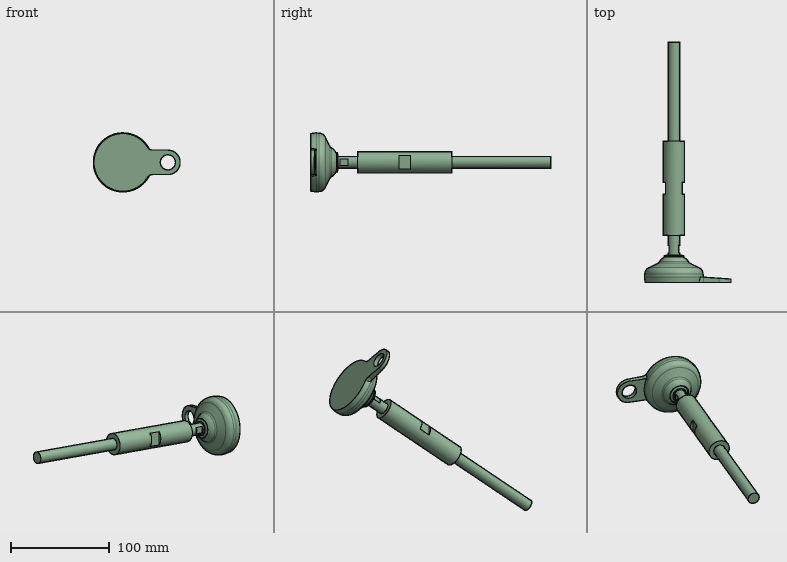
import cadquery as cq
import math

TOTAL_LENGTH = 243.0

FOOT_BOTTOM_RADIUS = 29.2
RIM_RADIUS = 30.0
RIM_HEIGHT = 5.8
SHOULDER_START_RADIUS = 29.6
SHOULDER_START_HEIGHT = 8.7
SHOULDER_MID_RADIUS = 28.2
SHOULDER_MID_HEIGHT = 13.0
SHOULDER_END_RADIUS = 24.8
SHOULDER_END_HEIGHT = 15.3
CONE_TOP_RADIUS = 16.0
CONE_TOP_HEIGHT = 19.7
DOME_START_RADIUS = 14.8
DOME_START_HEIGHT = 21.1
DOME_MID_RADIUS = 12.6
DOME_MID_HEIGHT = 23.8
NECK_RADIUS = 9.2
NECK_HEIGHT = 26.0
LIP_RADIUS = 10.2
LIP_HEIGHT = 27.0
FOOT_TOP_RADIUS = 7.3
FOOT_HEIGHT = 28.0

LUG_WIDTH = 25.0
LUG_HOLE_X = 45.5
LUG_HOLE_DIAMETER = 15.0
LUG_ROOT_FILLET = 6.0
LUG_ROOT_THICKNESS = 5.5
LUG_TIP_THICKNESS = 3.6

ROD_DIAMETER = 12.0
ROD_FLAT_START = 30.0
ROD_FLAT_LENGTH = 7.8
ROD_ACROSS_FLATS = 10.0

SLEEVE_DIAMETER = 21.9
SLEEVE_START = 47.6
SLEEVE_LENGTH = 95.3
SLEEVE_FLAT_LENGTH = 12.0
SLEEVE_ACROSS_FLATS = 17.0


def cylinder(diameter, start, length):
    """Cylinder along +Y from y = start."""
    plane = cq.Workplane("XZ", origin=(0, start, 0))
    return plane.circle(diameter / 2).extrude(-length)


def cut_wrench_flats(body, diameter, across_flats, start, length):
    """Cut a pair of opposite flats, facing -X and +X, over a length along Y."""
    depth = (diameter - across_flats) / 2
    for side in (-1, 1):
        x = side * (across_flats + depth) / 2
        cutter = cq.Workplane("XY").box(depth, length, diameter)
        body = body.cut(cutter.translate((x, start + length / 2, 0)))
    return body


def make_pad():
    """Round pad: flared rim, rounded shoulder, cone blended into a dome, and top lip."""
    return (
        cq.Workplane("XY")
        .lineTo(FOOT_BOTTOM_RADIUS, 0)
        .lineTo(RIM_RADIUS, RIM_HEIGHT)
        .lineTo(SHOULDER_START_RADIUS, SHOULDER_START_HEIGHT)
        .threePointArc(
            (SHOULDER_MID_RADIUS, SHOULDER_MID_HEIGHT),
            (SHOULDER_END_RADIUS, SHOULDER_END_HEIGHT),
        )
        .lineTo(CONE_TOP_RADIUS, CONE_TOP_HEIGHT)
        .tangentArcPoint((DOME_START_RADIUS, DOME_START_HEIGHT), relative=False)
        .threePointArc((DOME_MID_RADIUS, DOME_MID_HEIGHT), (NECK_RADIUS, NECK_HEIGHT))
        .lineTo(LIP_RADIUS, LIP_HEIGHT)
        .lineTo(FOOT_TOP_RADIUS, FOOT_HEIGHT)
        .lineTo(0, FOOT_HEIGHT)
        .close()
        .revolve(360, (0, 0, 0), (0, 1, 0))
    )


def make_lug():
    """Lug with a round end, filleted into the pad and tapering in thickness towards its tip."""
    half_width = LUG_WIDTH / 2
    tip_x = LUG_HOLE_X + half_width

    center_z = half_width + LUG_ROOT_FILLET
    center_distance = FOOT_BOTTOM_RADIUS + LUG_ROOT_FILLET
    center_x = math.sqrt(center_distance**2 - center_z**2)
    contact_x = center_x * FOOT_BOTTOM_RADIUS / center_distance
    contact_z = center_z * FOOT_BOTTOM_RADIUS / center_distance
    contact_angle = math.atan2(center_z, center_x) + math.pi
    middle_angle = (contact_angle + 1.5 * math.pi) / 2
    middle_x = center_x + LUG_ROOT_FILLET * math.cos(middle_angle)
    middle_z = center_z + LUG_ROOT_FILLET * math.sin(middle_angle)

    outline = (
        cq.Workplane("XZ")
        .lineTo(contact_x, contact_z)
        .threePointArc((middle_x, middle_z), (center_x, half_width))
        .lineTo(LUG_HOLE_X, half_width)
        .threePointArc((tip_x, 0), (LUG_HOLE_X, -half_width))
        .lineTo(center_x, -half_width)
        .threePointArc((middle_x, -middle_z), (contact_x, -contact_z))
        .close()
        .extrude(-RIM_HEIGHT)
    )

    slope = (LUG_ROOT_THICKNESS - LUG_TIP_THICKNESS) / (tip_x - RIM_RADIUS)
    axis_thickness = LUG_ROOT_THICKNESS + slope * RIM_RADIUS
    taper = (
        cq.Workplane("XY")
        .polyline([(0, 0), (tip_x, 0), (tip_x, LUG_TIP_THICKNESS), (0, axis_thickness)])
        .close()
        .extrude(FOOT_BOTTOM_RADIUS, both=True)
    )
    return outline.intersect(taper)


def make_foot():
    foot = make_pad().union(make_lug())
    hole = cylinder(LUG_HOLE_DIAMETER, 0, RIM_HEIGHT).translate((LUG_HOLE_X, 0, 0))
    return foot.cut(hole)


def make_rod():
    """Rod standing on the foot and passing through the sleeve."""
    rod = cylinder(ROD_DIAMETER, FOOT_HEIGHT, TOTAL_LENGTH - FOOT_HEIGHT)
    return cut_wrench_flats(rod, ROD_DIAMETER, ROD_ACROSS_FLATS, ROD_FLAT_START, ROD_FLAT_LENGTH)


def make_sleeve():
    """Sleeve with a through bore for the rod and wrench flats at mid length."""
    sleeve = cylinder(SLEEVE_DIAMETER, SLEEVE_START, SLEEVE_LENGTH)
    sleeve = sleeve.cut(cylinder(ROD_DIAMETER, SLEEVE_START, SLEEVE_LENGTH))
    flat_start = SLEEVE_START + (SLEEVE_LENGTH - SLEEVE_FLAT_LENGTH) / 2
    return cut_wrench_flats(
        sleeve, SLEEVE_DIAMETER, SLEEVE_ACROSS_FLATS, flat_start, SLEEVE_FLAT_LENGTH
    )


foot = make_foot()
rod = make_rod()
sleeve = make_sleeve()

result = cq.Compound.makeCompound([foot.solids().val(), rod.solids().val(), sleeve.solids().val()])